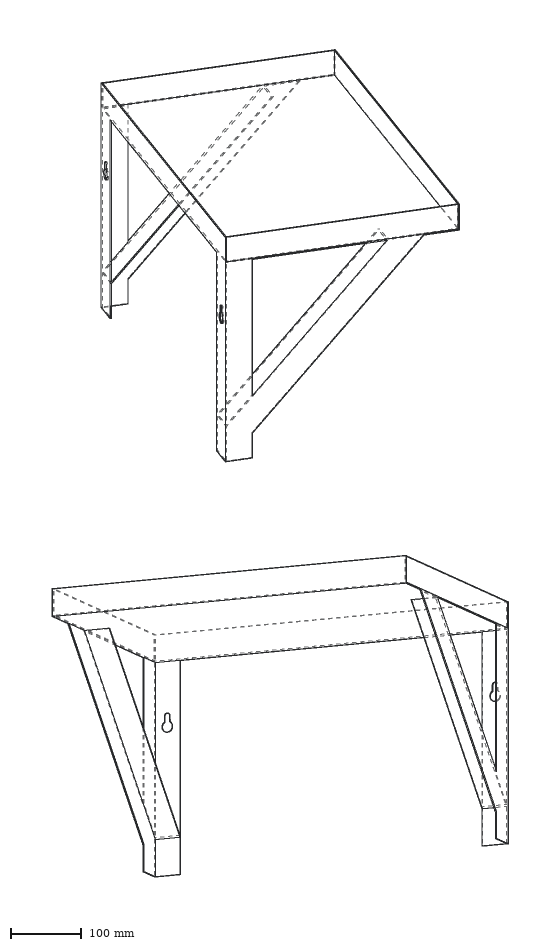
import cadquery as cq
import math

length = 550.0
depth = 350.0
height = 350.0

sheet = 2.0
profile = 40.0
side_recess = 0.3

brace_foot = 38.5
brace_setback = 53.5

keyhole_drop = 134.0
keyhole_rise = 15.5
keyhole_diameter = 16.0
slot_width = 8.0

half_length = length / 2
tray_bottom = height - profile


def block(x, y, z, dx, dy, dz):
    """Box with its lowest corner at (x, y, z)."""
    return cq.Workplane("XY").box(dx, dy, dz, centered=False).translate((x, y, z))


def make_tray():
    """Open tray whose side walls stand on the floor between the front and rear walls."""
    tray = block(-half_length, 0, tray_bottom, length, depth, sheet)
    for y in (0, depth - sheet):
        tray = tray.union(block(-half_length, y, tray_bottom, length, sheet, profile))
    for x in (-half_length + side_recess, half_length - side_recess - sheet):
        tray = tray.union(block(x, 0, tray_bottom, sheet, depth, profile))
    return tray


def make_leg():
    """Left angle-section leg with a keyhole in its wall flange."""
    wall_flange = block(-half_length, 0, 0, profile, sheet, tray_bottom)
    side_flange = block(-half_length, 0, 0, sheet, profile, tray_bottom)
    keyhole_x = -half_length + profile / 2
    keyhole_z = height - keyhole_drop
    keyhole = (
        cq.Workplane("XZ").center(keyhole_x, keyhole_z).circle(keyhole_diameter / 2).extrude(-sheet)
    )
    slot = block(keyhole_x - slot_width / 2, 0, keyhole_z, slot_width, sheet, keyhole_rise)
    slot_end = (
        cq.Workplane("XZ").center(keyhole_x, keyhole_z + keyhole_rise)
        .circle(slot_width / 2).extrude(-sheet)
    )
    return wall_flange.union(side_flange).cut(keyhole).cut(slot).cut(slot_end)


def make_brace():
    """Left angle-section brace: a side flange and a flange along its upper edge."""
    rise = tray_bottom - brace_foot
    run = depth - brace_setback - profile
    angle = math.atan2(rise, run)

    def lower_edge_height(y):
        return brace_foot + (y - profile) * math.tan(angle)

    def sloped_plate(start_y, lower_offset, upper_offset, width):
        """Strip between two parallels of the lower edge, from start_y up to the tray."""
        low = lower_offset / math.cos(angle)
        high = upper_offset / math.cos(angle)
        tray_end = profile + run
        outline = [
            (start_y, lower_edge_height(start_y) + low),
            (tray_end - lower_offset / math.sin(angle), tray_bottom),
            (tray_end - upper_offset / math.sin(angle), tray_bottom),
            (start_y, lower_edge_height(start_y) + high),
        ]
        return cq.Workplane("YZ", origin=(-half_length, 0, 0)).polyline(outline).close().extrude(width)

    side_flange = sloped_plate(profile, 0, profile, sheet)
    upper_flange = sloped_plate(sheet, profile - sheet, profile, profile)
    return side_flange.union(upper_flange)


support = make_leg().union(make_brace())
result = make_tray().union(support).union(support.mirror("YZ"))